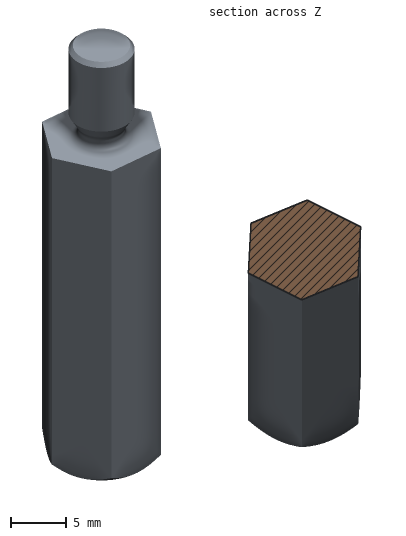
import cadquery as cq
import math

across_flats = 10.0
body_length = 35.0
across_corners = across_flats / math.cos(math.radians(30))
bottom_face_diameter = 9.95
bottom_chamfer_angle = math.radians(45)

stud_diameter = 6.0
stud_length = 10.0
tip_chamfer = 0.4

neck_diameter = 4.38
undercut_length = 2.5
undercut_radius = 0.6
runout_angle = math.radians(30)


def make_body():
    """Hexagonal prism with its lower corners turned off by a cone."""
    prism = cq.Workplane("XY").polygon(6, across_corners).extrude(body_length)

    corner_radius = across_corners / 2
    bottom_radius = bottom_face_diameter / 2
    chamfer_height = (corner_radius - bottom_radius) * math.tan(bottom_chamfer_angle)
    turned_blank = (
        cq.Workplane("XZ")
        .lineTo(bottom_radius, 0)
        .lineTo(corner_radius, chamfer_height)
        .lineTo(corner_radius, body_length)
        .lineTo(0, body_length)
        .close()
        .revolve(360, (0, 0, 0), (0, 1, 0))
    )
    return prism.intersect(turned_blank)


def make_stud():
    """Turned stud with a chamfered tip and a rounded undercut at its root."""
    stud_radius = stud_diameter / 2
    neck_radius = neck_diameter / 2
    root_z = body_length
    tip_z = body_length + stud_length
    runout_top_z = root_z + undercut_length
    arc_center_r = neck_radius + undercut_radius

    def arc_r(angle):
        return arc_center_r - undercut_radius * math.cos(angle)

    def arc_rise(angle):
        return undercut_radius * math.sin(angle)

    cone_start_r = arc_r(runout_angle)
    cone_start_z = runout_top_z - (stud_radius - cone_start_r) / math.tan(runout_angle)
    neck_top_z = cone_start_z - arc_rise(runout_angle)

    neck_bottom_z = root_z + undercut_radius
    quarter_middle = math.radians(45)

    return (
        cq.Workplane("XZ")
        .moveTo(0, root_z)
        .lineTo(arc_center_r, root_z)
        .threePointArc(
            (arc_r(quarter_middle), neck_bottom_z - arc_rise(quarter_middle)),
            (neck_radius, neck_bottom_z),
        )
        .lineTo(neck_radius, neck_top_z)
        .threePointArc(
            (arc_r(runout_angle / 2), neck_top_z + arc_rise(runout_angle / 2)),
            (cone_start_r, cone_start_z),
        )
        .lineTo(stud_radius, runout_top_z)
        .lineTo(stud_radius, tip_z - tip_chamfer)
        .lineTo(stud_radius - tip_chamfer, tip_z)
        .lineTo(0, tip_z)
        .close()
        .revolve(360, (0, 0, 0), (0, 1, 0))
    )


result = make_body().union(make_stud())